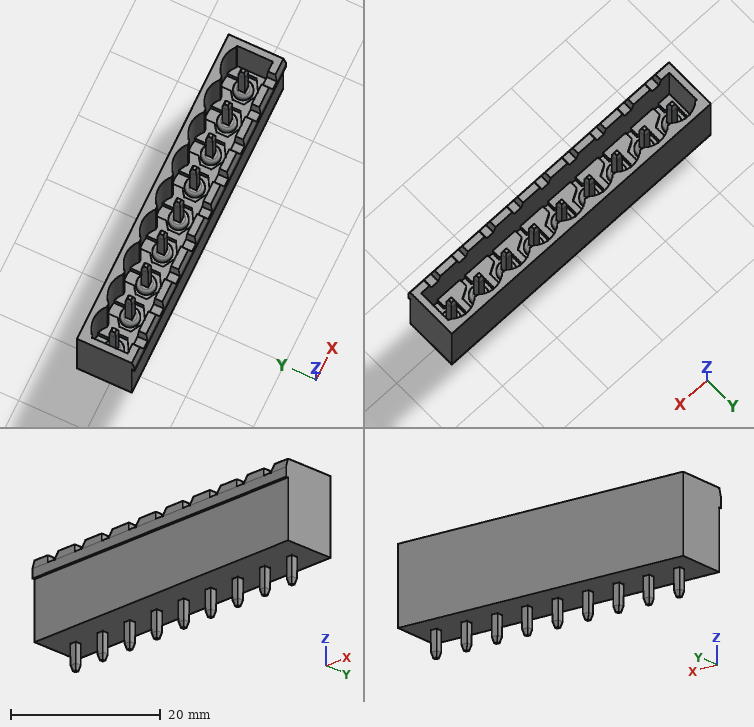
import cadquery as cq


length = 47.7
height = 12.0
back_y = 3.8
lip_y = -4.7
lip_overhang = 0.4
lip_height = 2.75
lip_chamfer_height = 1.3
front_y = lip_y + lip_overhang

pin_count = 9
end_margin = 3.55
pitch = (length - 2 * end_margin) / (pin_count - 1)
pin_places = [(i - (pin_count - 1) / 2) * pitch for i in range(pin_count)]

floor_z = 3.8
end_wall = 1.0
front_wall = 1.5
back_wall = 0.8
scallop_depth = 0.9
pier_width = 0.5
pocket_length = length - 2 * end_wall
pocket_front_y = lip_y + front_wall
scallop_top_y = back_y - back_wall
pier_y = scallop_top_y - scallop_depth
scallop_half_width = (pitch - pier_width) / 2

notch_depth = lip_chamfer_height
notch_top_width = 2.0
notch_bottom_width = 1.25

recess_depth = 0.95
recess_z = floor_z - recess_depth
recess_half_width = 2.05
recess_side_top_y = 0.55
recess_side_bottom_y = -1.05
back_channel_half_width = notch_top_width / 2
back_channel_y = 1.35
front_channel_half_width = 0.455
front_channel_y = -1.95

boss_diameter = 2.75
boss_height = 0.95
boss_fillet = 0.5

pin_width = 1.0
pin_bottom_z = -4.0
pin_top_z = 10.98
tip_width = 0.52
top_tip_length = 1.0
bottom_tip_length = 0.9


def make_block():
    """Housing block with a chamfered lip along the top of its front face."""
    lip_bottom_z = height - lip_height
    chamfer_z = height - lip_chamfer_height
    side_profile = [
        (back_y, 0),
        (back_y, height),
        (front_y, height),
        (lip_y, chamfer_z),
        (lip_y, lip_bottom_z),
        (front_y, lip_bottom_z),
        (front_y, 0),
    ]
    return cq.Workplane("YZ").polyline(side_profile).close().extrude(length / 2, both=True)


def make_pocket():
    """Rectangular part of the pocket, between the front wall and the piers."""
    pocket_width = pier_y - pocket_front_y
    return (
        cq.Workplane("XY", origin=(0, pocket_front_y + pocket_width / 2, floor_z))
        .rect(pocket_length, pocket_width)
        .extrude(height - floor_z)
    )


def make_scallop(x, bottom_z):
    """Arc segment that widens the pocket toward the back wall behind one pin."""
    return (
        cq.Workplane("XY", origin=(x, 0, bottom_z))
        .moveTo(-scallop_half_width, pier_y)
        .threePointArc((0, scallop_top_y), (scallop_half_width, pier_y))
        .close()
        .extrude(height - bottom_z)
    )


def make_notch(x):
    """Notch through the front wall that narrows downward."""
    notch_profile = [
        (-notch_top_width / 2, height),
        (notch_top_width / 2, height),
        (notch_bottom_width / 2, height - notch_depth),
        (-notch_bottom_width / 2, height - notch_depth),
    ]
    return (
        cq.Workplane("XZ", origin=(x, pocket_front_y, 0))
        .polyline(notch_profile)
        .close()
        .extrude(front_wall)
    )


def make_recess(x):
    """Keyhole recess: an octagonal well with channels to the front and back walls."""
    right_side = [
        (front_channel_half_width, pocket_front_y),
        (front_channel_half_width, front_channel_y),
        (recess_half_width, recess_side_bottom_y),
        (recess_half_width, recess_side_top_y),
        (back_channel_half_width, back_channel_y),
        (back_channel_half_width, scallop_top_y),
    ]
    left_side = [(-px, py) for px, py in reversed(right_side)]
    outline = (
        cq.Workplane("XY", origin=(x, 0, recess_z))
        .polyline(right_side + left_side)
        .close()
        .extrude(recess_depth)
    )
    beyond_piers = (
        cq.Workplane("XY", origin=(x, pier_y + scallop_depth / 2, recess_z))
        .rect(2 * recess_half_width, scallop_depth)
        .extrude(recess_depth)
    )
    return outline.cut(beyond_piers.cut(make_scallop(x, recess_z)))


def make_boss(x):
    """Round boss with a rounded top edge, standing in the recess."""
    return (
        cq.Workplane("XY", origin=(x, 0, recess_z))
        .circle(boss_diameter / 2)
        .extrude(boss_height)
        .faces(">Z")
        .edges()
        .fillet(boss_fillet)
    )


def make_pin(x):
    """Square pin with a pyramid taper at both ends."""
    shank_bottom_z = pin_bottom_z + bottom_tip_length
    shank_top_z = pin_top_z - top_tip_length
    shank = (
        cq.Workplane("XY", origin=(x, 0, shank_bottom_z))
        .rect(pin_width, pin_width)
        .extrude(shank_top_z - shank_bottom_z)
    )
    top_tip = (
        cq.Workplane("XY", origin=(x, 0, shank_top_z))
        .rect(pin_width, pin_width)
        .workplane(offset=top_tip_length)
        .rect(tip_width, tip_width)
        .loft(ruled=True)
    )
    bottom_tip = (
        cq.Workplane("XY", origin=(x, 0, pin_bottom_z))
        .rect(tip_width, tip_width)
        .workplane(offset=bottom_tip_length)
        .rect(pin_width, pin_width)
        .loft(ruled=True)
    )
    return shank.union(top_tip).union(bottom_tip)


def make_housing(pins):
    """Housing with its pocket, the features around each pin, and the pin holes."""
    housing = make_block().cut(make_pocket())
    for x, pin in zip(pin_places, pins):
        housing = housing.cut(make_scallop(x, floor_z))
        housing = housing.cut(make_notch(x))
        housing = housing.cut(make_recess(x))
        housing = housing.union(make_boss(x))
        housing = housing.cut(pin)
    return housing


pins = [make_pin(x) for x in pin_places]
housing = make_housing(pins)

result = cq.Compound.makeCompound([housing.val(), *[pin.val() for pin in pins]])